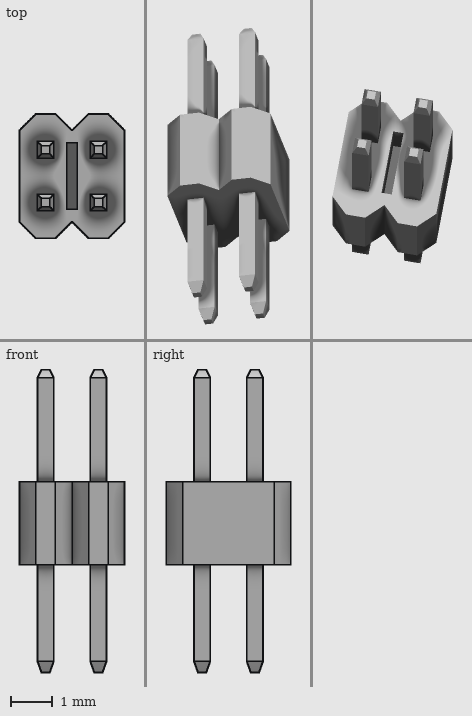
import cadquery as cq

pitch = 1.27
rows = 2
columns = 2
housing_length = 3.0
housing_height = 2.0
corner_cut = 0.4

slot_width = 0.25
slot_length = 1.6
slot_depth = housing_height / 2

pin_size = 0.4
pin_above = 2.7
pin_below = 2.6
upper_tip_height = 0.2
lower_tip_height = 0.28
tip_end_size = 0.2


def housing_segment(x_center):
    """One octagonal column of the housing, standing on Z = 0."""
    return (
        cq.Workplane("XY")
        .center(x_center, 0)
        .rect(pitch, housing_length)
        .extrude(housing_height)
        .edges("|Z")
        .chamfer(corner_cut)
    )


def slot():
    """Blind rectangular pocket centred between the pins."""
    return (
        cq.Workplane("XY", origin=(0, 0, housing_height - slot_depth))
        .rect(slot_width, slot_length)
        .extrude(slot_depth)
    )


def tapered_tip(x, y, z_base, z_end):
    """Square frustum from the full pin section to a smaller flat end."""
    return (
        cq.Workplane("XY", origin=(x, y, z_base))
        .rect(pin_size, pin_size)
        .workplane(offset=z_end - z_base)
        .rect(tip_end_size, tip_end_size)
        .loft(ruled=True)
    )


def pin(x, y):
    """Square pin through the housing with a tapered tip at each end."""
    z_top = housing_height + pin_above
    z_bottom = -pin_below
    shank_top = z_top - upper_tip_height
    shank_bottom = z_bottom + lower_tip_height
    shank = (
        cq.Workplane("XY", origin=(x, y, shank_bottom))
        .rect(pin_size, pin_size)
        .extrude(shank_top - shank_bottom)
    )
    upper_tip = tapered_tip(x, y, shank_top, z_top)
    lower_tip = tapered_tip(x, y, shank_bottom, z_bottom)
    return shank.union(upper_tip).union(lower_tip)


def centered_positions(count):
    """Coordinates of evenly pitched items, symmetric about zero."""
    return [(i - (count - 1) / 2) * pitch for i in range(count)]


column_positions = centered_positions(columns)
row_positions = centered_positions(rows)

result = housing_segment(column_positions[0])
for x in column_positions[1:]:
    result = result.union(housing_segment(x))
result = result.cut(slot())
for x in column_positions:
    for y in row_positions:
        result = result.union(pin(x, y))
result = result.clean()